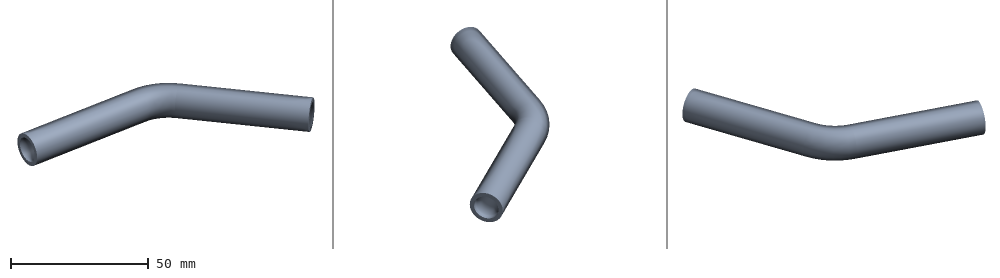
import cadquery as cq
import math

outer_diameter = 12.7
bore_diameter = 9.4
leg_length = 49.3
bend_radius = 19.0
bend_angle = 45.0


def bend_point(angle):
    """Point on the bend centreline after turning by the given angle in degrees."""
    turn = math.radians(angle)
    return (
        bend_radius * (1 - math.cos(turn)),
        leg_length + bend_radius * math.sin(turn),
    )


bend_start = bend_point(0)
bend_middle = bend_point(bend_angle / 2)
bend_end = bend_point(bend_angle)
end_direction = math.radians(bend_angle)
far_end = (
    bend_end[0] + leg_length * math.sin(end_direction),
    bend_end[1] + leg_length * math.cos(end_direction),
)

centreline = (
    cq.Workplane("XY")
    .moveTo(0, 0)
    .lineTo(*bend_start)
    .threePointArc(bend_middle, bend_end)
    .lineTo(*far_end)
)

result = (
    cq.Workplane("XZ")
    .circle(outer_diameter / 2)
    .circle(bore_diameter / 2)
    .sweep(centreline)
)